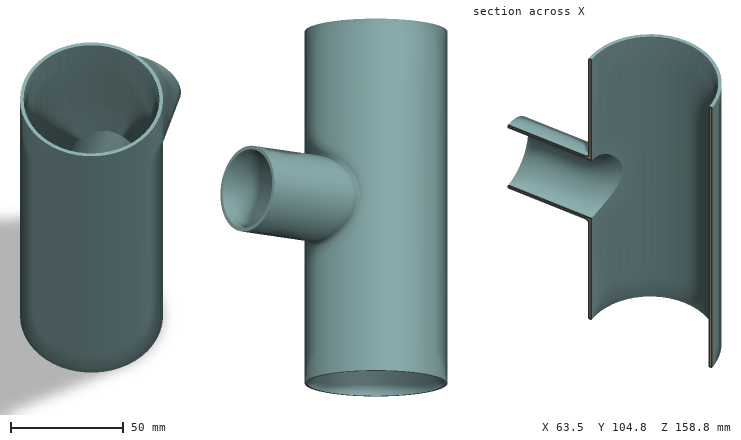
import cadquery as cq

main_diameter = 63.5
main_length = 158.8
wall = 1.6

branch_diameter = 38.5
overall_depth = 104.8
branch_reach = overall_depth - main_diameter / 2
junction_fillet = 1.5


def main_cylinder(diameter):
    """Full-height cylinder on the main pipe axis."""
    return cq.Workplane("XY").circle(diameter / 2).extrude(main_length / 2, both=True)


def branch_cylinder(diameter):
    """Cylinder from the main pipe axis to the open end of the branch."""
    return cq.Workplane("XZ").circle(diameter / 2).extrude(-branch_reach)


junction_zone = cq.selectors.BoxSelector(
    (-branch_diameter, main_diameter / 4, -branch_diameter),
    (branch_diameter, main_diameter / 2, branch_diameter),
)
outer = main_cylinder(main_diameter).union(branch_cylinder(branch_diameter))
outer = outer.edges(junction_zone).fillet(junction_fillet)

main_bore = main_cylinder(main_diameter - 2 * wall)
branch_bore = branch_cylinder(branch_diameter - 2 * wall)
result = outer.cut(main_bore).cut(branch_bore)